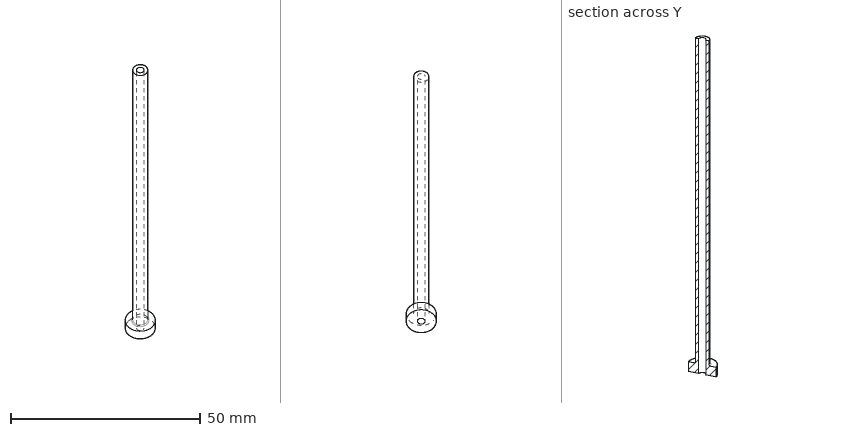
import cadquery as cq

total_length = 100.0
head_diameter = 8.0
head_height = 3.0
tube_diameter = 4.0
bore_diameter = 2.0
root_fillet = 0.3

head = cq.Workplane("XY").circle(head_diameter / 2).extrude(head_height)
tube = cq.Workplane("XY").circle(tube_diameter / 2).extrude(total_length)
body = head.union(tube)

head_top = body.faces(cq.selectors.NearestToPointSelector((0, 0, head_height)))
root_edge = cq.selectors.RadiusNthSelector(0)
body = head_top.edges(root_edge).fillet(root_fillet)

result = body.faces(">Z").workplane().circle(bore_diameter / 2).cutThruAll()